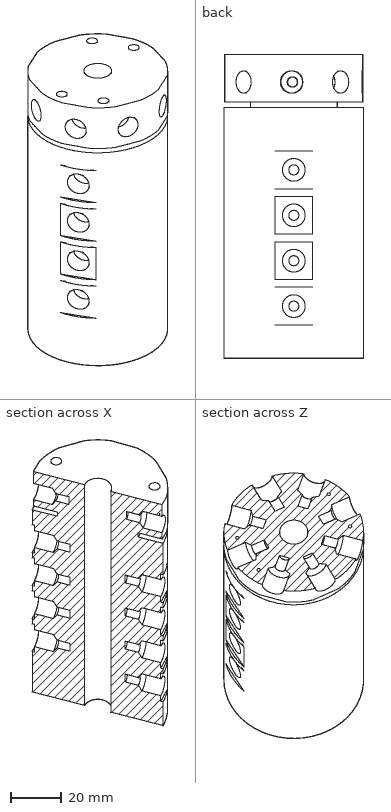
import cadquery as cq
import math

body_diameter = 55.5
body_height = 99.5
neck_diameter = 34.5
neck_height = 2.0
head_height = 19.0
bore_diameter = 11.0

body_radius = body_diameter / 2
head_base = body_height + neck_height
total_height = head_base + head_height

port_depth = 8.0
passage_diameter = 4.0
passage_depth = 15.0
drill_point_angle = 118.0

head_port_count = 8
head_rotation = -2.0
head_flat_width = 11.0
head_flat_distance = math.sqrt(body_radius**2 - (head_flat_width / 2) ** 2)
head_port_diameter = 8.8
head_port_drop = 11.0
head_port_z = total_height - head_port_drop

body_port_count = 4
body_port_pitch = 18.0
body_flat_height = 15.0
body_flat_depth = 1.0
body_flat_distance = body_radius - body_flat_depth
body_port_diameter = 9.0
front_top_port_z = 83.7
rear_top_port_z = front_top_port_z - body_port_pitch / 2
FRONT_ANGLE = -90.0
REAR_ANGLE = 90.0

mount_circle_radius = 22.5
mount_half_angle = 22.5
mount_hole_diameter = 4.3
mount_hole_depth = 10.0


def point_height(large_diameter, small_diameter=0.0):
    """Height of a drill-point cone narrowing between two diameters."""
    half_angle = math.radians(drill_point_angle / 2)
    return (large_diameter - small_diameter) / 2 / math.tan(half_angle)


def turned(radial_tool, angle, z):
    """Move a tool built along +X to the given height and turn it about the Z axis."""
    return radial_tool.translate((0, 0, z)).rotate((0, 0, 0), (0, 0, 1), angle)


def make_blank():
    """Body, neck and head as one turned stack."""
    body = cq.Workplane("XY").circle(body_radius).extrude(body_height)
    neck = body.faces(">Z").workplane().circle(neck_diameter / 2).extrude(neck_height)
    return neck.faces(">Z").workplane().circle(body_radius).extrude(head_height)


def flat_cutter(distance, height):
    """Block on +X that removes everything beyond the flat, centred on z = 0."""
    block = cq.Workplane("XY").box(body_radius, body_diameter, height, centered=(False, True, True))
    return block.translate((distance, 0, 0))


def port_cutter(face_distance, diameter):
    """Port and passage along X, running inward from the flat."""
    radius = diameter / 2
    passage_radius = passage_diameter / 2
    port_floor = face_distance - port_depth
    passage_mouth = port_floor - point_height(diameter, passage_diameter)
    passage_end = face_distance - passage_depth
    profile = (
        cq.Workplane("XZ")
        .moveTo(face_distance, 0)
        .lineTo(face_distance, radius)
        .lineTo(port_floor, radius)
        .lineTo(passage_mouth, passage_radius)
        .lineTo(passage_end, passage_radius)
        .lineTo(passage_end, 0)
        .close()
    )
    return profile.revolve(360, (0, 0, 0), (1, 0, 0))


def cut_head_ports(part):
    flat = flat_cutter(head_flat_distance, head_height).translate((0, 0, head_base + head_height / 2))
    port = port_cutter(head_flat_distance, head_port_diameter)
    for index in range(head_port_count):
        angle = head_rotation + index * 360 / head_port_count
        part = part.cut(turned(flat, angle, 0))
        part = part.cut(turned(port, angle, head_port_z))
    return part


def cut_body_ports(part, angle, top_z):
    flat = flat_cutter(body_flat_distance, body_flat_height)
    port = port_cutter(body_flat_distance, body_port_diameter)
    for index in range(body_port_count):
        z = top_z - index * body_port_pitch
        part = part.cut(turned(flat, angle, z))
        part = part.cut(turned(port, angle, z))
    return part


def cut_mount_holes(part):
    radius = mount_hole_diameter / 2
    floor = total_height - mount_hole_depth
    tip = floor - point_height(mount_hole_diameter)
    hole = (
        cq.Workplane("XZ")
        .moveTo(0, total_height)
        .lineTo(radius, total_height)
        .lineTo(radius, floor)
        .lineTo(0, tip)
        .close()
        .revolve(360, (0, 0, 0), (0, 1, 0))
    )
    for pair_angle in (FRONT_ANGLE, REAR_ANGLE):
        for side in (-1, 1):
            angle = math.radians(pair_angle + side * mount_half_angle)
            x = mount_circle_radius * math.cos(angle)
            y = mount_circle_radius * math.sin(angle)
            part = part.cut(hole.translate((x, y, 0)))
    return part


def cut_bore(part):
    return part.cut(cq.Workplane("XY").circle(bore_diameter / 2).extrude(total_height))


part = make_blank()
part = cut_head_ports(part)
part = cut_body_ports(part, FRONT_ANGLE, front_top_port_z)
part = cut_body_ports(part, REAR_ANGLE, rear_top_port_z)
part = cut_mount_holes(part)
result = cut_bore(part)